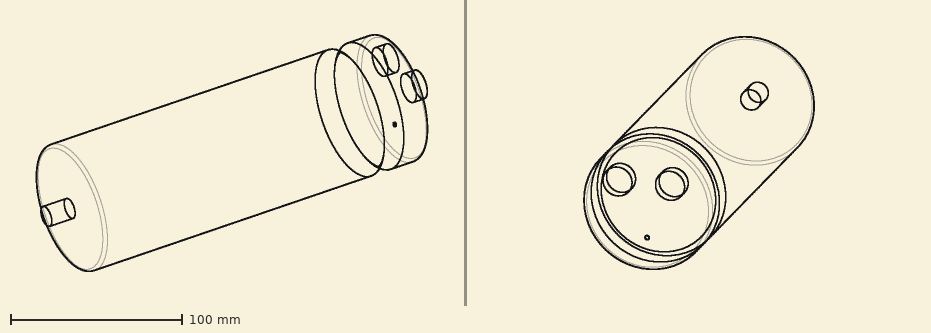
import cadquery as cq

overall_length = 245.5
can_diameter = 78.0
rim_radius = 2.0

stud_length = 16.0
stud_diameter = 12.3

terminal_height = 7.5
terminal_diameter = 17.7
terminal_pitch = 32.0
terminal_rise = 16.0

vent_height = 0.7
vent_diameter = 2.5
vent_drop = 19.2

groove_setback = 23.8
groove_width = 13.3
groove_depth = 4.0

can_radius = can_diameter / 2
stud_tip_y = -overall_length / 2
base_y = stud_tip_y + stud_length
lid_y = overall_length / 2 - terminal_height
groove_y = lid_y - groove_setback


def cylinder_along_y(diameter, start_y, length, x=0.0, z=0.0):
    """Solid cylinder that runs towards +Y from start_y."""
    return cq.Workplane(
        cq.Solid.makeCylinder(diameter / 2, length, cq.Vector(x, start_y, z), cq.Vector(0, 1, 0))
    )


def make_can():
    """Can with rounded end rims and a round-bottomed groove below the lid."""
    half_profile = (
        cq.Workplane("XY")
        .moveTo(0, base_y)
        .lineTo(can_radius - rim_radius, base_y)
        .radiusArc((can_radius, base_y + rim_radius), -rim_radius)
        .lineTo(can_radius, groove_y - groove_width / 2)
        .threePointArc(
            (can_radius - groove_depth, groove_y),
            (can_radius, groove_y + groove_width / 2),
        )
        .lineTo(can_radius, lid_y - rim_radius)
        .radiusArc((can_radius - rim_radius, lid_y), -rim_radius)
        .lineTo(0, lid_y)
        .close()
    )
    return half_profile.revolve(360, (0, 0, 0), (0, 1, 0))


result = make_can()

result = result.union(cylinder_along_y(stud_diameter, stud_tip_y, stud_length))

for side in (-1, 1):
    terminal_x = side * terminal_pitch / 2
    result = result.union(
        cylinder_along_y(terminal_diameter, lid_y, terminal_height, terminal_x, terminal_rise)
    )

result = result.union(cylinder_along_y(vent_diameter, lid_y, vent_height, z=-vent_drop))